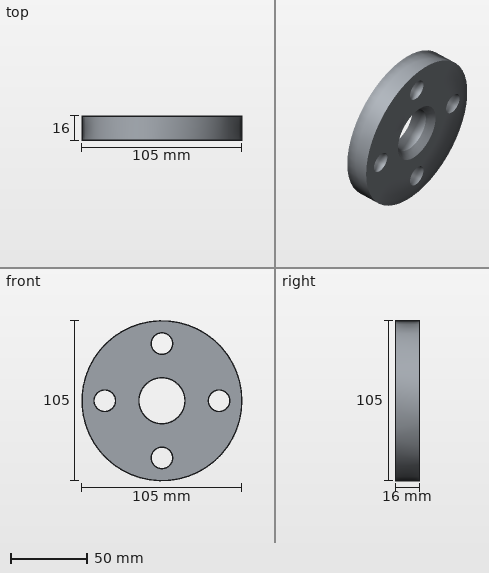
import cadquery as cq

outer_diameter = 105.0
thickness = 16.0

bore_diameter = 30.0
bore_chamfer = 4.5

bolt_hole_diameter = 14.0
bolt_circle_diameter = 75.0
bolt_hole_count = 4

back_plane = cq.Workplane("XZ", origin=(0, thickness / 2, 0))
bored_disc = back_plane.circle(outer_diameter / 2).circle(bore_diameter / 2).extrude(thickness)

bore_edge_finder = cq.selectors.RadiusNthSelector(0)
flared_disc = bored_disc.faces(">Y").edges(bore_edge_finder).chamfer(bore_chamfer)

bolt_holes = (
    back_plane.polarArray(bolt_circle_diameter / 2, 0, 360, bolt_hole_count)
    .circle(bolt_hole_diameter / 2)
    .extrude(thickness)
)

result = flared_disc.cut(bolt_holes)